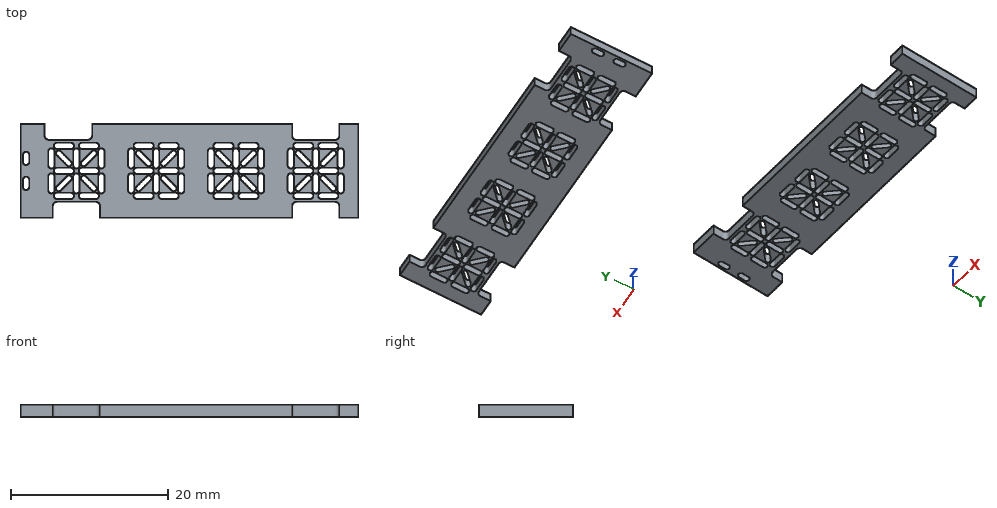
import cadquery as cq

LENGTH = 43.0
WIDTH = 12.0
THICKNESS = 1.6

DIGIT_COUNT = 4
DIGIT_SPAN = 30.5
DIGIT_PITCH = DIGIT_SPAN / (DIGIT_COUNT - 1)
FIRST_DIGIT_X = -14.4

CELL = 3.2
HALF_CELL = CELL / 2
SEGMENT_LENGTH = 2.55
SEGMENT_WIDTH = 0.77
DIAGONAL_WIDTH = 0.7

NOTCH_LENGTH = 5.98
NECK_WIDTH = 7.9
NOTCH_RADIUS = 0.5

OFFSET_NOTCH_SHIFT = -1.05
OFFSET_NOTCH_LENGTH = 6.05
OFFSET_NOTCH_RADIUS = 0.6

END_SLOT_LENGTH = 1.68
END_SLOT_WIDTH = 0.77
END_SLOT_INSET = 0.7

digit_centers = [FIRST_DIGIT_X + i * DIGIT_PITCH for i in range(DIGIT_COUNT)]


def slots(centers, length, width, angle):
    """Through slots with round ends, at an angle in degrees from +X."""
    sketch = cq.Workplane("XY").pushPoints(centers).slot2D(length, width, angle)
    return sketch.extrude(THICKNESS / 2, both=True)


def digit(center_x):
    """The sixteen slots of one segmented digit."""
    grid_lines = (-CELL, 0, CELL)
    cell_centers = (-HALF_CELL, HALF_CELL)
    horizontal = [(center_x + x, y) for x in cell_centers for y in grid_lines]
    vertical = [(center_x + x, y) for x in grid_lines for y in cell_centers]
    rising = [(center_x + offset, offset) for offset in cell_centers]
    falling = [(center_x + offset, -offset) for offset in cell_centers]
    cutter = slots(horizontal, SEGMENT_LENGTH, SEGMENT_WIDTH, 0)
    cutter = cutter.add(slots(vertical, SEGMENT_LENGTH, SEGMENT_WIDTH, 90))
    cutter = cutter.add(slots(rising, SEGMENT_LENGTH, DIAGONAL_WIDTH, 45))
    cutter = cutter.add(slots(falling, SEGMENT_LENGTH, DIAGONAL_WIDTH, -45))
    return cutter.combine()


def notch(center_x, side, length, radius):
    """Notch in the +Y (side = 1) or -Y (side = -1) edge, with its inner corners rounded."""
    depth = (WIDTH - NECK_WIDTH) / 2
    block = cq.Workplane("XY").box(length, 2 * depth, THICKNESS)
    block = block.edges("|Z").fillet(radius)
    return block.translate((center_x, side * WIDTH / 2, 0))


plate = cq.Workplane("XY").box(LENGTH, WIDTH, THICKNESS)

left_digit = digit_centers[0]
right_digit = digit_centers[-1]
offset_notch_x = left_digit + OFFSET_NOTCH_SHIFT
plate = plate.cut(notch(offset_notch_x, 1, OFFSET_NOTCH_LENGTH, OFFSET_NOTCH_RADIUS))
for notch_x, notch_side in [(left_digit, -1), (right_digit, 1), (right_digit, -1)]:
    plate = plate.cut(notch(notch_x, notch_side, NOTCH_LENGTH, NOTCH_RADIUS))

for digit_x in digit_centers:
    plate = plate.cut(digit(digit_x))

end_slot_x = -LENGTH / 2 + END_SLOT_INSET
end_slot_centers = [(end_slot_x, -HALF_CELL), (end_slot_x, HALF_CELL)]
plate = plate.cut(slots(end_slot_centers, END_SLOT_LENGTH, END_SLOT_WIDTH, 90))

result = plate